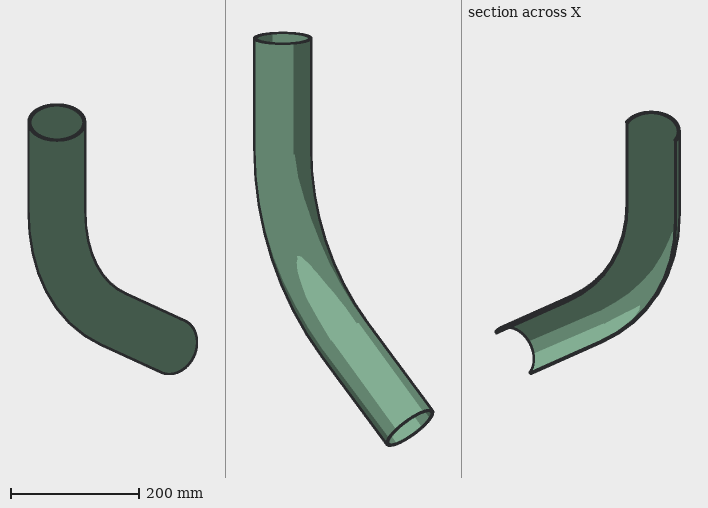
import cadquery as cq
import math

overall_height = 622.5
outer_diameter = 89.0
inner_diameter = 83.0
straight_length = 177.5
bend_angle = 45.0

outer_radius = outer_diameter / 2
sin_bend = math.sin(math.radians(bend_angle))
cos_bend = math.cos(math.radians(bend_angle))
straights_height = straight_length * (1 + cos_bend)
lower_rim_drop = outer_radius * sin_bend
bend_radius = (overall_height - straights_height - lower_rim_drop) / sin_bend


def bend_point(angle):
    """Centreline point (Y, Z) at an angle in degrees from the top of the bend, which is the origin."""
    turn = math.radians(angle)
    return bend_radius * (1 - math.cos(turn)), -bend_radius * math.sin(turn)


bend_end = bend_point(bend_angle)
lower_end = (
    bend_end[0] + straight_length * sin_bend,
    bend_end[1] - straight_length * cos_bend,
)
centreline = (
    cq.Workplane("YZ")
    .moveTo(0, straight_length)
    .lineTo(0, 0)
    .threePointArc(bend_point(bend_angle / 2), bend_end)
    .lineTo(*lower_end)
)

result = (
    cq.Workplane("XY", origin=(0, 0, straight_length))
    .circle(outer_radius)
    .circle(inner_diameter / 2)
    .sweep(centreline)
)